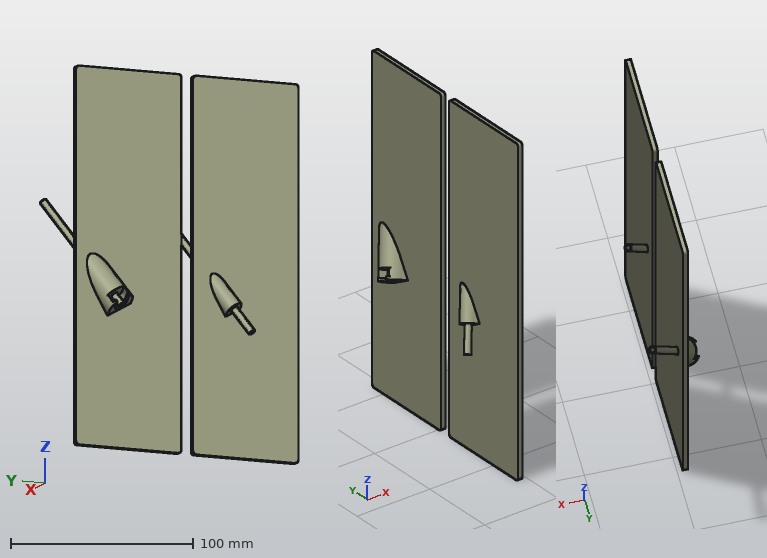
import cadquery as cq
import math

PLATE_THICKNESS = 3.0
PLATE_WIDTH = 63.0
PLATE_HEIGHT = 212.0
PLATE_GAP = 7.0
PLATE_CORNER_RADIUS = 2.0
PLATE_CENTER_Y = (PLATE_GAP + PLATE_WIDTH) / 2

SWING_ANGLE = 30.0
LEAN_ANGLE = 22.0
CROSSING_OFFSET_Y = 15.5
CROSSING_Z = -11.9

PIN_DIAMETER = 4.0
PIN_HOLE_DIAMETER = 3.0
PIN_LENGTH = 75.0
BORE_DIAMETER = 4.5
LEFT_PIN_START = -18.9
RIGHT_PIN_START = -31.5

LEFT_BOSS_WIDTH = 16.1
LEFT_BOSS_END = -18.5
LEFT_BOSS_DROP = 1.0
RIGHT_BOSS_WIDTH = 10.0
RIGHT_BOSS_END = -14.6
RIGHT_BOSS_DROP = 0.2
BOSS_REACH = 84.8

MOUTH_WIDTH = 8.0
WINDOW_WIDTH = 11.0
LIP_THICKNESS = 1.7
WINDOW_LENGTH = 4.9


def axis_plane(plate_y, distance):
    """Plane across the pin axis; its local Y points outward, away from the plate."""
    swing = math.radians(SWING_ANGLE)
    lean = math.radians(LEAN_ANGLE)
    direction = cq.Vector(
        math.sin(lean),
        math.cos(lean) * math.sin(swing),
        math.cos(lean) * math.cos(swing),
    )
    sideways = cq.Vector(0, math.cos(swing), -math.sin(swing))
    crossing = cq.Vector(0, plate_y + CROSSING_OFFSET_Y, CROSSING_Z)
    return cq.Plane(crossing + direction * distance, sideways, direction)


def make_boss(plate_y, width, end, drop):
    radius = width / 2
    profile = (
        cq.Workplane(axis_plane(plate_y, end))
        .moveTo(-radius, -drop)
        .threePointArc((0, radius - drop), (radius, -drop))
        .lineTo(radius, -BOSS_REACH)
        .lineTo(-radius, -BOSS_REACH)
        .close()
    )
    outer_side = cq.Workplane("XY").box(
        BOSS_REACH, PLATE_HEIGHT, PLATE_HEIGHT, centered=(False, True, True)
    ).translate((-BOSS_REACH, plate_y, 0))
    return profile.extrude(BOSS_REACH).intersect(outer_side)


def make_bore(plate_y):
    return (
        cq.Workplane(axis_plane(plate_y, -BOSS_REACH))
        .circle(BORE_DIAMETER / 2)
        .extrude(2 * BOSS_REACH)
    )


def make_plate(plate_y, boss_width, boss_end, boss_drop):
    panel = (
        cq.Workplane("XY")
        .box(PLATE_THICKNESS, PLATE_WIDTH, PLATE_HEIGHT)
        .edges("|X")
        .fillet(PLATE_CORNER_RADIUS)
        .translate((0, plate_y, 0))
    )
    boss = make_boss(plate_y, boss_width, boss_end, boss_drop)
    return panel.union(boss).cut(make_bore(plate_y))


def make_axis_slot(start, width, length):
    """Slot around the left pin axis, with a round bottom and open to the outside."""
    radius = width / 2
    return (
        cq.Workplane(axis_plane(PLATE_CENTER_Y, start))
        .moveTo(-radius, 0)
        .threePointArc((0, -radius), (radius, 0))
        .lineTo(radius, LEFT_BOSS_WIDTH)
        .lineTo(-radius, LEFT_BOSS_WIDTH)
        .close()
        .extrude(length)
    )


def make_pin(plate_y, start):
    return (
        cq.Workplane(axis_plane(plate_y, start))
        .circle(PIN_DIAMETER / 2)
        .circle(PIN_HOLE_DIAMETER / 2)
        .extrude(PIN_LENGTH)
    )


left_plate = make_plate(PLATE_CENTER_Y, LEFT_BOSS_WIDTH, LEFT_BOSS_END, LEFT_BOSS_DROP)
left_plate = left_plate.cut(make_axis_slot(LEFT_BOSS_END, MOUTH_WIDTH, LIP_THICKNESS))
left_plate = left_plate.cut(make_axis_slot(LEFT_BOSS_END + LIP_THICKNESS, WINDOW_WIDTH, WINDOW_LENGTH))
right_plate = make_plate(-PLATE_CENTER_Y, RIGHT_BOSS_WIDTH, RIGHT_BOSS_END, RIGHT_BOSS_DROP)

pin_places = [(PLATE_CENTER_Y, LEFT_PIN_START), (-PLATE_CENTER_Y, RIGHT_PIN_START)]
pins = [make_pin(plate_y, start).val() for plate_y, start in pin_places]

result = cq.Compound.makeCompound([left_plate.val(), right_plate.val(), *pins])